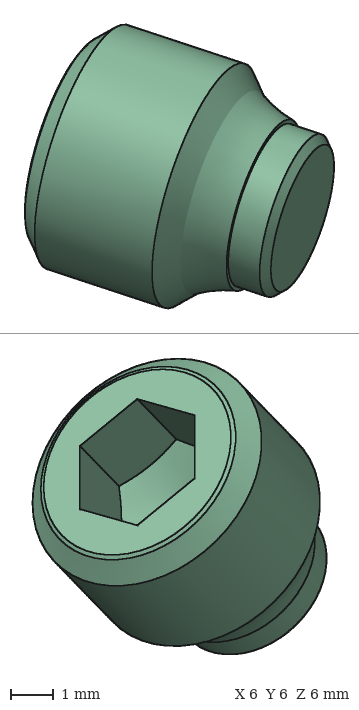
import cadquery as cq
import math

body_radius = 3.0
total_length = 6.0
body_chamfer = 0.5
end_face_radius = 2.45
rim_width = 0.05

neck_start_x = 4.0
neck_length = 1.0
neck_end_radius = 2.1
neck_arc_radius = 3.0

spigot_radius = 2.0
spigot_chamfer = 0.2

socket_flats = 3.0
socket_depth = 2.0
drill_point_angle = 120.0


def make_body():
    """Revolve the half profile, given as (x, radius), about the X axis."""
    chamfer_radius = body_radius - body_chamfer
    neck_end_x = neck_start_x + neck_length
    spigot_tip_radius = spigot_radius - spigot_chamfer

    profile = (
        cq.Workplane("XY")
        .moveTo(0, 0)
        .lineTo(0, end_face_radius)
        .lineTo(rim_width, chamfer_radius + rim_width)
        .lineTo(body_chamfer, body_radius)
        .lineTo(neck_start_x - body_chamfer, body_radius)
        .lineTo(neck_start_x, chamfer_radius)
        .radiusArc((neck_end_x, neck_end_radius), -neck_arc_radius)
        .lineTo(neck_end_x, spigot_radius)
        .lineTo(total_length - spigot_chamfer, spigot_radius)
        .lineTo(total_length, spigot_tip_radius)
        .lineTo(total_length, 0)
        .close()
    )
    return profile.revolve(360, (0, 0, 0), (1, 0, 0))


def make_socket():
    """Hexagonal hole with two corners on the Z axis and a conical floor."""
    across_corners = socket_flats / math.cos(math.radians(30))
    corner_radius = across_corners / 2
    cone_depth = corner_radius / math.tan(math.radians(drill_point_angle / 2))

    hexagon = (
        cq.Workplane("YZ")
        .transformed(rotate=(0, 0, 90))
        .polygon(6, across_corners)
        .extrude(socket_depth + cone_depth)
    )
    drill = (
        cq.Workplane("XY")
        .moveTo(0, 0)
        .lineTo(0, corner_radius)
        .lineTo(socket_depth, corner_radius)
        .lineTo(socket_depth + cone_depth, 0)
        .close()
        .revolve(360, (0, 0, 0), (1, 0, 0))
    )
    return hexagon.intersect(drill)


result = make_body().cut(make_socket())